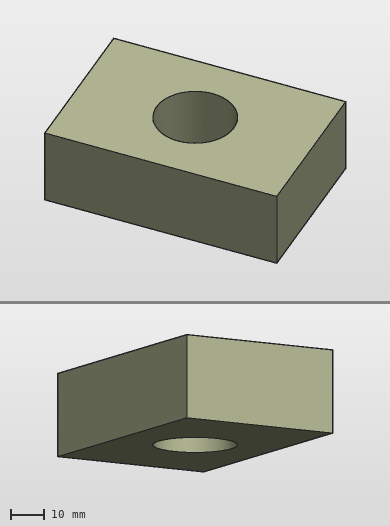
import cadquery as cq

length = 76.2
width = length * 2 / 3
height = length / 3

hole_diameter = height

result = (
    cq.Workplane("XY")
    .box(length, width, height)
    .faces(">Z")
    .workplane()
    .hole(hole_diameter)
)